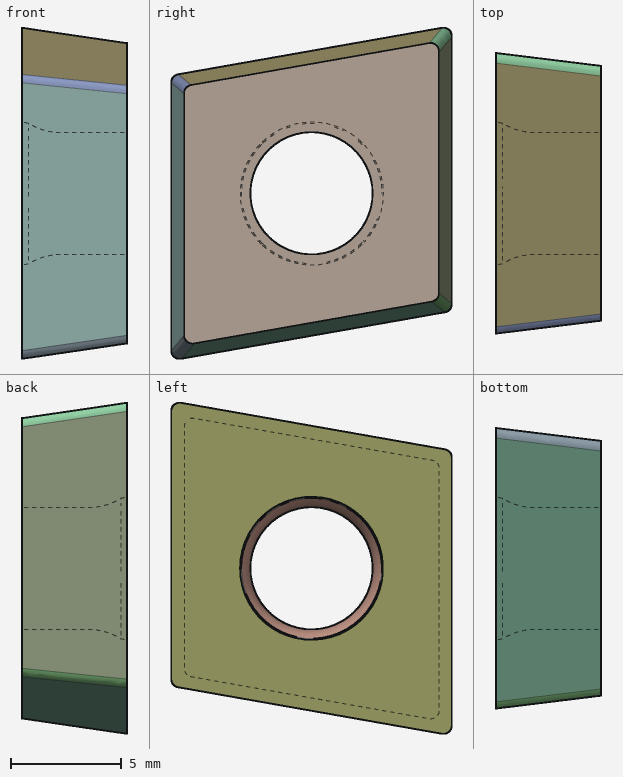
import cadquery as cq
import math

length = 14.99
thickness = 4.77
corner_angle = 80.0
relief_angle = 7.0
corner_radius = 0.39

bore_radius = 2.76
seat_radius = 3.18
mouth_radius = 3.24
lip_depth = 0.3
seat_end_depth = 1.74

skew = math.radians(90 - corner_angle)
corner_loss = corner_radius * (1 / math.tan(math.radians(corner_angle / 2)) - 1)
face_width = (length + 2 * corner_loss) / (1 / math.cos(skew) + math.tan(skew))
back_width = face_width - 2 * thickness * math.tan(math.radians(relief_angle))


def rhombus_points(width):
    """Corners in (Y, Z) of a rhombus with the given distance between opposite sides."""
    half_width = width / 2
    half_side = half_width / math.cos(skew)
    rise = half_width * math.tan(skew)
    return [
        (-half_width, -half_side - rise),
        (half_width, -half_side + rise),
        (half_width, half_side + rise),
        (-half_width, half_side - rise),
    ]


def make_body():
    tapered = (
        cq.Workplane("YZ")
        .polyline(rhombus_points(face_width)).close()
        .workplane(offset=thickness)
        .polyline(rhombus_points(back_width)).close()
        .loft(ruled=True, combine=True)
    )
    side_edges = tapered.edges("not #X")
    return side_edges.fillet(corner_radius)


def make_screw_hole():
    """Revolved hole about X; the curved seat runs tangent into the bore."""
    return (
        cq.Workplane("XY")
        .moveTo(0, 0)
        .lineTo(thickness, 0)
        .lineTo(thickness, bore_radius)
        .lineTo(seat_end_depth, bore_radius)
        .tangentArcPoint((lip_depth, seat_radius), relative=False)
        .lineTo(0, mouth_radius)
        .close()
        .revolve(360, (0, 0, 0), (1, 0, 0))
    )


result = make_body().cut(make_screw_hole())